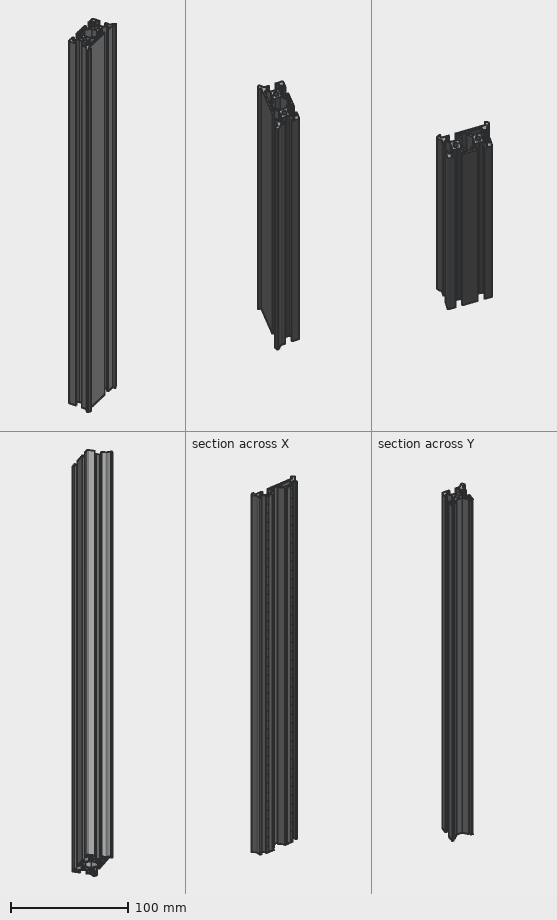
import cadquery as cq

LENGTH = 375.0
TOTAL_WIDTH = 22.5
TOTAL_DEPTH = 46.0
CELL = 20.0
CORNER_RADIUS = 0.95
BORE_DIAMETER = 4.0

WALL = 1.7
MOUTH_WIDTH = 6.0
CORE_WIDTH = 8.0
CAVITY_HALF_WIDTH = 6.0
RIB_OFFSET = 0.95
GROOVE_HALF_WIDTH = 0.55
GROOVE_DEPTH = 0.3

CHAMBER_RIB_OFFSET = 1.5
CHAMBER_HALF_DEPTH = 2.5
BARB_HALF_GAP = 1.7

EAR_ROOT = 2.8
EAR_TIP_FLAT = 1.0
EAR_ROOT_RADIUS = 1.0
EAR_EDGE = 1.0

half_cell = CELL / 2
cell_centres = (-half_cell, half_cell)
core_half = CORE_WIDTH / 2
wall_inside = half_cell - WALL
ear_reach_x = TOTAL_WIDTH - CELL
ear_reach_y = TOTAL_DEPTH / 2 - CELL


def prism(points):
    """Full-length extrusion of a closed outline."""
    return cq.Workplane("XY").polyline(points).close().extrude(LENGTH)


def t_slot(cell_y, angle, is_open=True):
    """Slot of one cell opening along +X, turned by angle about the cell centre."""
    outer = half_cell if is_open else wall_inside
    floor_half = core_half - RIB_OFFSET
    half_profile = [
        (core_half, GROOVE_HALF_WIDTH),
        (core_half, floor_half),
        (CAVITY_HALF_WIDTH + RIB_OFFSET, CAVITY_HALF_WIDTH),
        (wall_inside, CAVITY_HALF_WIDTH),
    ]
    if is_open:
        half_profile += [(wall_inside, MOUTH_WIDTH / 2), (outer, MOUTH_WIDTH / 2)]
    mirrored = [(x, -y) for x, y in reversed(half_profile)]
    groove_bottom = (core_half - GROOVE_DEPTH, 0)
    slot = prism([groove_bottom] + half_profile + mirrored)
    return slot.rotate((0, 0, 0), (0, 0, 1), angle).translate((0, cell_y, 0))


def central_chamber():
    """Hollow between the cores, bounded by the diagonal ribs and the outer walls.

    Each rib ends in a small barb that stands clear of the outer wall.
    """
    core_y = half_cell - core_half
    core_x = core_half - CHAMBER_RIB_OFFSET
    barb_x = half_cell - BARB_HALF_GAP - CHAMBER_RIB_OFFSET
    right = [
        (core_x, core_y),
        (barb_x, BARB_HALF_GAP),
        (barb_x + CHAMBER_HALF_DEPTH - BARB_HALF_GAP, CHAMBER_HALF_DEPTH),
        (wall_inside, CHAMBER_HALF_DEPTH),
    ]
    right += [(x, -y) for x, y in reversed(right)]
    left = [(-x, y) for x, y in reversed(right)]
    return prism(right + left)


def ear():
    """Pointed ear on the +X, +Y corner."""
    corner_x = half_cell
    corner_y = CELL
    root_x = corner_x - EAR_ROOT
    tip_x = root_x + ear_reach_y
    return prism([
        (root_x, corner_y),
        (tip_x, corner_y + ear_reach_y),
        (tip_x + EAR_TIP_FLAT, corner_y + ear_reach_y),
        (corner_x + ear_reach_x, corner_y + EAR_EDGE),
        (corner_x + ear_reach_x, corner_y),
        (corner_x, corner_y),
        (corner_x, corner_y - WALL),
        (root_x, corner_y - WALL),
    ])


body = cq.Workplane("XY").rect(CELL, 2 * CELL).extrude(LENGTH)
body = body.edges("|Z and <X").fillet(CORNER_RADIUS)

body = body.union(ear()).union(ear().mirror("XZ"))
for side in (-1, 1):
    ear_foot = (half_cell - EAR_ROOT, side * CELL, LENGTH / 2)
    body = body.edges(cq.selectors.NearestToPointSelector(ear_foot)).fillet(EAR_ROOT_RADIUS)

for cell_y in cell_centres:
    body = body.cut(t_slot(cell_y, 180))
    body = body.cut(t_slot(cell_y, 0, is_open=cell_y > 0))
    end_angle = 90 if cell_y > 0 else -90
    body = body.cut(t_slot(cell_y, end_angle))

body = body.cut(central_chamber())

bore_points = [(0, y) for y in cell_centres]
bores = cq.Workplane("XY").pushPoints(bore_points).circle(BORE_DIAMETER / 2).extrude(LENGTH)
result = body.cut(bores)